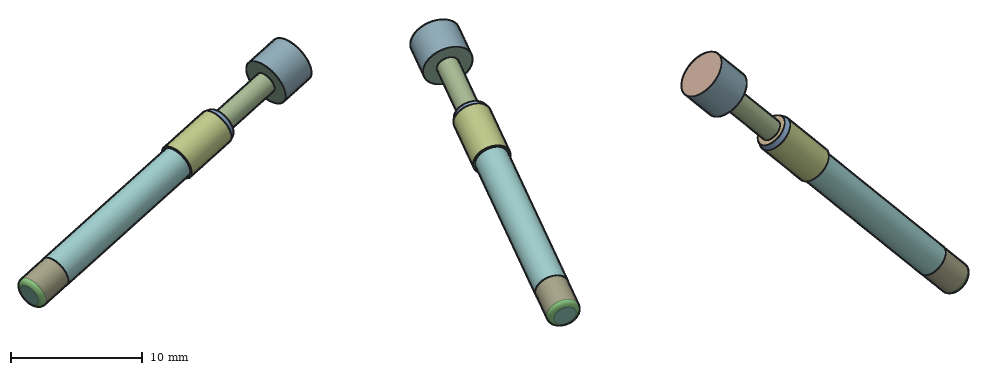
import cadquery as cq

total_length = 30.3

head_diameter = 4.0
plunger_diameter = 1.8
collar_diameter = 3.03
barrel_diameter = 2.7
tip_diameter = 2.67

head_length = 3.0
plunger_length = 5.25
collar_length = 5.03
tip_length = 3.0
barrel_length = total_length - head_length - plunger_length - collar_length - tip_length

lead_in_length = 0.45
lead_in_depth = (collar_diameter - barrel_diameter) / 2
tip_fillet = 0.42


def cylinder(diameter, length, back_y):
    """Cylinder on the Y axis, running from back_y towards -Y."""
    return cq.Workplane("XZ", origin=(0, back_y, 0)).circle(diameter / 2).extrude(length)


head_back = total_length / 2
plunger_back = head_back - head_length
collar_back = plunger_back - plunger_length
barrel_back = collar_back - collar_length
tip_back = barrel_back - barrel_length

head = cylinder(head_diameter, head_length, head_back)
plunger = cylinder(plunger_diameter, plunger_length, plunger_back)
barrel = cylinder(barrel_diameter, barrel_length, barrel_back)

collar = (
    cylinder(collar_diameter, collar_length, collar_back)
    .faces(">Y")
    .chamfer(lead_in_length, lead_in_depth)
)

tip = cylinder(tip_diameter, tip_length, tip_back).faces("<Y").edges().fillet(tip_fillet)

result = head.union(plunger).union(collar).union(barrel).union(tip)